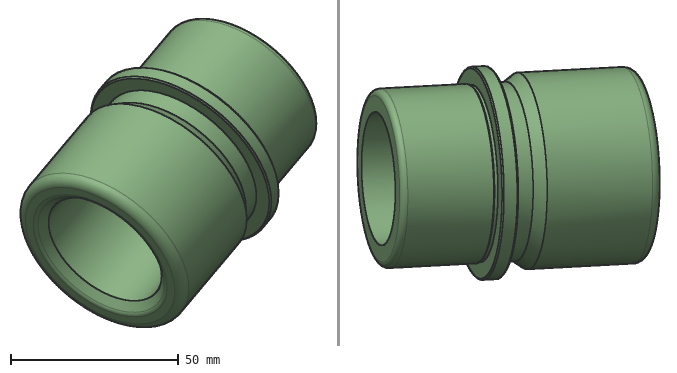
import cadquery as cq
import math

length = 80.0
bore_radius = 20.0

head_radius = 29.5
head_length = 35.5
head_fillet = 3.0
body_radius = 27.0
body_fillet = 2.0
taper_end = 39.2

collar_radius = 32.0
collar_start = 45.0
collar_width = 5.0
collar_chamfer = 0.5

groove_depth = 0.3
groove_width = 1.4

mouth_radius = 23.7
lip_radius = 1.8
cone_angle = math.radians(45)

collar_end = collar_start + collar_width
groove_end = collar_end + groove_width
groove_radius = body_radius - groove_depth


def lip_point(angle):
    """Radius and Y of the lip after turning by angle from the front face."""
    radius = mouth_radius - lip_radius * math.sin(angle)
    y = lip_radius * (1 - math.cos(angle))
    return radius, y


cone_radius, cone_start = lip_point(cone_angle)
cone_end = cone_start + (cone_radius - bore_radius) / math.tan(cone_angle)
arc_offset_45 = math.sqrt(0.5)

profile = (
    cq.Workplane("XY")
    .moveTo(bore_radius, cone_end)
    .lineTo(cone_radius, cone_start)
    .threePointArc(lip_point(cone_angle / 2), (mouth_radius, 0))
    .lineTo(head_radius - head_fillet, 0)
    .threePointArc(
        (
            head_radius - head_fillet * (1 - arc_offset_45),
            head_fillet * (1 - arc_offset_45),
        ),
        (head_radius, head_fillet),
    )
    .lineTo(head_radius, head_length)
    .lineTo(body_radius, taper_end)
    .lineTo(body_radius, collar_start)
    .lineTo(collar_radius - collar_chamfer, collar_start)
    .lineTo(collar_radius, collar_start + collar_chamfer)
    .lineTo(collar_radius, collar_end - collar_chamfer)
    .lineTo(collar_radius - collar_chamfer, collar_end)
    .lineTo(groove_radius, collar_end)
    .lineTo(groove_radius, groove_end - groove_depth)
    .lineTo(body_radius, groove_end)
    .lineTo(body_radius, length - body_fillet)
    .threePointArc(
        (
            body_radius - body_fillet * (1 - arc_offset_45),
            length - body_fillet * (1 - arc_offset_45),
        ),
        (body_radius - body_fillet, length),
    )
    .lineTo(bore_radius, length)
    .close()
)

result = profile.revolve(360, (0, 0, 0), (0, 1, 0))